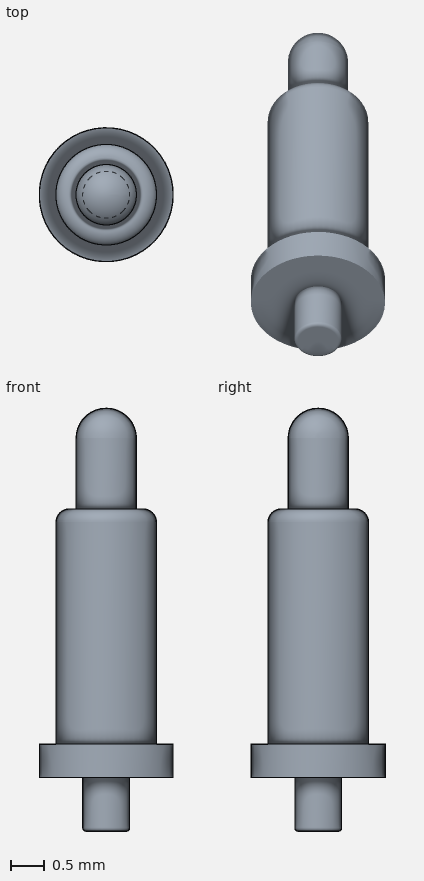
import cadquery as cq

total_height = 6.3

tail_diameter = 0.7
tail_length = 0.8
tail_edge_radius = 0.05

flange_diameter = 2.0
flange_thickness = 0.5

barrel_diameter = 1.5
barrel_length = 3.5
barrel_rim_radius = 0.2

plunger_diameter = 0.9
plunger_radius = plunger_diameter / 2

flange_bottom = -total_height / 2 + tail_length
flange_top = flange_bottom + flange_thickness
barrel_top = flange_top + barrel_length
plunger_top = total_height / 2


def cylinder(diameter, bottom, top):
    """Upright cylinder on the Z axis between two heights."""
    return cq.Workplane("XY").workplane(offset=bottom).circle(diameter / 2).extrude(top - bottom)


def make_barrel():
    """Cylindrical body with a rounded top rim."""
    body = cylinder(barrel_diameter, flange_top, barrel_top)
    return body.faces(">Z").edges().fillet(barrel_rim_radius)


def make_plunger():
    """Contact rod with a hemispherical tip, standing on the barrel."""
    rod = cylinder(plunger_diameter, barrel_top, plunger_top - plunger_radius)
    tip = cq.Workplane("XY").sphere(plunger_radius).translate((0, 0, plunger_top - plunger_radius))
    return rod.union(tip)


def make_flange():
    """Plain disc under the barrel."""
    return cylinder(flange_diameter, flange_bottom, flange_top)


def make_tail():
    """Solder tail with a rounded lower end."""
    tail = cylinder(tail_diameter, -total_height / 2, flange_bottom)
    return tail.faces("<Z").edges().fillet(tail_edge_radius)


barrel = make_barrel()
plunger = make_plunger()
flange = make_flange()
tail = make_tail()

result = cq.Compound.makeCompound([barrel.val(), plunger.val(), flange.val(), tail.val()])